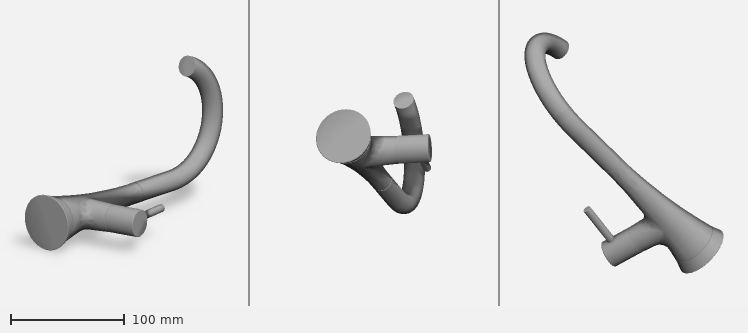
import cadquery as cq
import math

foot_radius = 25.0
collar_radius = 21.5
collar_height = 11.5
body_length = 120.8
tube_radius = 9.2
foot_chamfer = 0.5

straight_end = 171.0
gentle_bend_radius = 68.3
gentle_bend_angle = 18
hook_radius = 50.8
hook_angle = 144

valve_axis_height = 43.0
valve_tilt = 7
cap_radius = 12.3
cap_start = 36.6
cap_end = 65.0
cap_chamfer = 0.5
arm_root_radius = 14.2
arm_blend_radius = 9.5

lever_position = 54.5
lever_radius = 3.5
lever_reach = 50.5

groove_width = 0.7
groove_depth = 0.35


def make_body():
    """Revolve the flared profile, with a seam groove at the top of the collar and one at the neck."""
    return (
        cq.Workplane("XY")
        .lineTo(foot_radius - foot_chamfer, 0)
        .lineTo(foot_radius, foot_chamfer)
        .lineTo(collar_radius, collar_height - groove_width)
        .lineTo(collar_radius - groove_depth, collar_height - groove_width)
        .lineTo(collar_radius - groove_depth, collar_height)
        .lineTo(collar_radius, collar_height)
        .spline([(tube_radius, body_length)], tangents=[flare_direction(), (0, 1)], includeCurrent=True)
        .lineTo(tube_radius - groove_depth, body_length)
        .lineTo(tube_radius - groove_depth, body_length + groove_width)
        .lineTo(0, body_length + groove_width)
        .close()
        .revolve(360, (0, 0, 0), (0, 1, 0))
    )


def flare_direction():
    """Direction of the flare where it leaves the collar, for a parabola ending at the neck."""
    rise = body_length - collar_height
    return (-2 * (collar_radius - tube_radius) / rise, 1)


def make_spout():
    """Build the straight tube and turn its end disc through the two tangent bends."""
    bend = math.radians(gentle_bend_angle)
    hook_start_y = straight_end + gentle_bend_radius * math.sin(bend)
    hook_start_z = gentle_bend_radius * (1 - math.cos(bend))
    straight_start = body_length + groove_width
    straight = (
        cq.Workplane("XZ", origin=(0, straight_start, 0))
        .circle(tube_radius)
        .extrude(straight_start - straight_end)
    )
    gentle_bend = (
        cq.Workplane("XZ", origin=(0, straight_end, 0))
        .circle(tube_radius)
        .revolve(gentle_bend_angle, (0, gentle_bend_radius, 0), (1, gentle_bend_radius, 0))
    )
    hook_plane = cq.Plane(
        origin=(0, hook_start_y, hook_start_z),
        xDir=(1, 0, 0),
        normal=(0, -math.cos(bend), -math.sin(bend)),
    )
    hook = (
        cq.Workplane(hook_plane)
        .circle(tube_radius)
        .revolve(hook_angle, (0, hook_radius, 0), (1, hook_radius, 0))
    )
    return straight.union(gentle_bend).union(hook)


def on_valve_axis(shape):
    """Move a shape built along +X onto the tilted valve axis."""
    return shape.rotate((0, 0, 0), (0, 0, 1), valve_tilt).translate((0, valve_axis_height, 0))


def make_arm():
    """Tapered arm from the body axis, ending in a seam groove against the valve cap."""
    arm = (
        cq.Workplane("XY")
        .lineTo(cap_start, 0)
        .lineTo(cap_start, cap_radius - groove_depth)
        .lineTo(cap_start - groove_width, cap_radius - groove_depth)
        .lineTo(cap_start - groove_width, cap_radius)
        .lineTo(0, arm_root_radius)
        .close()
        .revolve(360, (0, 0, 0), (1, 0, 0))
    )
    return on_valve_axis(arm)


def make_cap():
    cap = (
        cq.Workplane("YZ", origin=(cap_start, 0, 0))
        .circle(cap_radius)
        .extrude(cap_end - cap_start)
        .faces(">X")
        .chamfer(cap_chamfer)
    )
    return on_valve_axis(cap)


def make_lever():
    lever = cq.Workplane("XZ", origin=(lever_position, 0, 0)).circle(lever_radius).extrude(-lever_reach)
    return on_valve_axis(lever)


def make_blended_body():
    """Join the arm to the body and round the edge where the arm leaves the flare."""
    root_margin = 2.4
    region_start = (root_margin, collar_height + root_margin, -collar_radius)
    region_end = (collar_radius, body_length - root_margin, collar_radius)
    root_edges = cq.selectors.BoxSelector(region_start, region_end)
    return make_body().union(make_arm()).edges(root_edges).fillet(arm_blend_radius)


result = make_blended_body().union(make_spout()).union(make_cap()).union(make_lever())